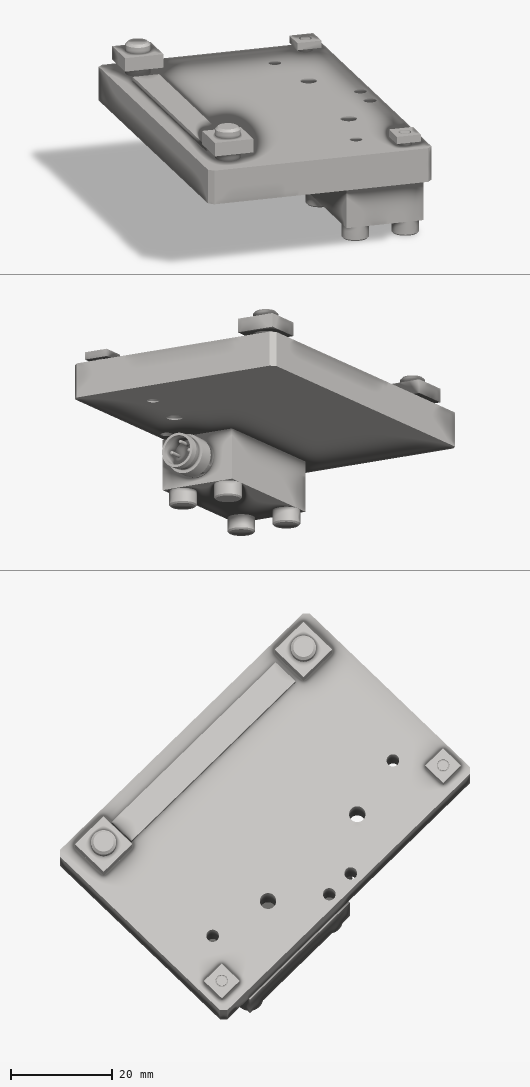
import cadquery as cq

PLATE_LENGTH = 70.0
PLATE_WIDTH = 46.5
PLATE_THICKNESS = 7.0
PLATE_CORNER_CHAMFER = 1.0

PLATE_HOLES = [
    (3.0, 20.85, 2.5),
    (12.5, 13.25, 3.24),
    (25.25, 10.5, 2.5),
]

STRIP_LENGTH = 46.0
STRIP_WIDTH = 5.5
STRIP_HEIGHT = 1.0

CLAMP_X = 28.0
CLAMP_Y = -17.1
CLAMP_BLOCK_SIZE = 8.0
CLAMP_BLOCK_BOTTOM = 1.9
CLAMP_BLOCK_THICKNESS = 2.8
CLAMP_POST_DIAMETER = 5.0
CLAMP_POST_HEIGHT = 6.5
CLAMP_POST_CHAMFER = 0.5

PAD_X = 31.0
PAD_Y = 18.75
PAD_SIZE = 5.0
PAD_BOTTOM = 1.0
PAD_THICKNESS = 1.5
PAD_PIN_DIAMETER = 2.9
PAD_GROOVE_OUTER_DIAMETER = 2.5
PAD_GROOVE_INNER_DIAMETER = 2.0
PAD_GROOVE_DEPTH = 0.25

HOUSING_LEFT = 0.0
HOUSING_LENGTH = 28.0
HOUSING_WIDTH = 16.0
HOUSING_HEIGHT = 10.3
HOUSING_OVERHANG = 0.35
HOUSING_REAR = PLATE_WIDTH / 2 + HOUSING_OVERHANG
HOUSING_FRONT = HOUSING_REAR - HOUSING_WIDTH

FOOT_DIAMETER = 5.5
FOOT_HEIGHT = 3.0
FOOT_CHAMFER = 0.3
FOOT_X_POSITIONS = (3.0, 25.25)
FOOT_Y_POSITIONS = (20.75, 10.35)

CONNECTOR_Y = 15.5
CONNECTOR_Z = -HOUSING_HEIGHT / 2
CONNECTOR_SECTIONS = [
    (7.5, 1.7),
    (8.0, 3.15),
    (6.5, 1.5),
    (7.0, 1.5),
]
WRENCH_FLAT_START = 0.25
WRENCH_FLAT_WIDTH = 1.0
WRENCH_ACROSS_FLATS = 6.4
SOCKET_DIAMETER = 6.0
SOCKET_DEPTH = 4.0
CONTACT_DIAMETER = 0.7
CONTACT_LENGTH = 3.0
CONTACT_RADIUS = 2.0
CONTACT_TIP_CHAMFER = 0.15
CONTACT_DIRECTIONS = [(1, 0), (-1, 0), (0, 1)]


def box(x_center, y_center, z_bottom, x_size, y_size, height):
    """Upright box centred in X and Y, standing on z_bottom."""
    block = cq.Workplane("XY").box(x_size, y_size, height, centered=(True, True, False))
    return block.translate((x_center, y_center, z_bottom))


def cylinder(x_center, y_center, z_bottom, diameter, height):
    """Vertical cylinder standing on z_bottom."""
    post = cq.Workplane("XY").circle(diameter / 2).extrude(height)
    return post.translate((x_center, y_center, z_bottom))


def connector_cylinder(distance, diameter, length):
    """Cylinder on the connector axis, starting at a distance from the housing and running towards -X."""
    rod = cq.Workplane("YZ").circle(diameter / 2).extrude(-length)
    return rod.translate((HOUSING_LEFT - distance, CONNECTOR_Y, CONNECTOR_Z))


def make_plate():
    plate = box(0, 0, 0, PLATE_LENGTH, PLATE_WIDTH, PLATE_THICKNESS)
    plate = plate.edges("|Z").chamfer(PLATE_CORNER_CHAMFER)
    for x_offset, y, diameter in PLATE_HOLES:
        for side in (-1, 1):
            plate = plate.cut(cylinder(side * x_offset, y, 0, diameter, PLATE_THICKNESS))
    return plate


def make_strip():
    return box(0, CLAMP_Y, PLATE_THICKNESS, STRIP_LENGTH, STRIP_WIDTH, STRIP_HEIGHT)


def make_clamp(x):
    post = cylinder(x, CLAMP_Y, PLATE_THICKNESS, CLAMP_POST_DIAMETER, CLAMP_POST_HEIGHT)
    post = post.faces(">Z").chamfer(CLAMP_POST_CHAMFER)
    block_bottom = PLATE_THICKNESS + CLAMP_BLOCK_BOTTOM
    block = box(x, CLAMP_Y, block_bottom, CLAMP_BLOCK_SIZE, CLAMP_BLOCK_SIZE, CLAMP_BLOCK_THICKNESS)
    return post.union(block)


def make_pad(x):
    pin = cylinder(x, PAD_Y, PLATE_THICKNESS, PAD_PIN_DIAMETER, PAD_BOTTOM)
    pad_bottom = PLATE_THICKNESS + PAD_BOTTOM
    pad = box(x, PAD_Y, pad_bottom, PAD_SIZE, PAD_SIZE, PAD_THICKNESS)
    groove_bottom = pad_bottom + PAD_THICKNESS - PAD_GROOVE_DEPTH
    groove = cylinder(x, PAD_Y, groove_bottom, PAD_GROOVE_OUTER_DIAMETER, PAD_GROOVE_DEPTH)
    core = cylinder(x, PAD_Y, groove_bottom, PAD_GROOVE_INNER_DIAMETER, PAD_GROOVE_DEPTH)
    return pad.cut(groove.cut(core)).union(pin)


def make_housing():
    x_center = HOUSING_LEFT + HOUSING_LENGTH / 2
    y_center = (HOUSING_REAR + HOUSING_FRONT) / 2
    return box(x_center, y_center, -HOUSING_HEIGHT, HOUSING_LENGTH, HOUSING_WIDTH, HOUSING_HEIGHT)


def make_foot(x, y):
    foot = cylinder(x, y, -HOUSING_HEIGHT - FOOT_HEIGHT, FOOT_DIAMETER, FOOT_HEIGHT)
    return foot.faces("<Z").chamfer(FOOT_CHAMFER)


def make_wrench_flats():
    """Material removed from the connector collar to leave four flats."""
    collar_diameter = CONNECTOR_SECTIONS[0][0]
    ring = connector_cylinder(WRENCH_FLAT_START, collar_diameter, WRENCH_FLAT_WIDTH)
    square = cq.Workplane("YZ").rect(WRENCH_ACROSS_FLATS, WRENCH_ACROSS_FLATS).extrude(-WRENCH_FLAT_WIDTH)
    return ring.cut(square.translate((HOUSING_LEFT - WRENCH_FLAT_START, CONNECTOR_Y, CONNECTOR_Z)))


def make_connector():
    sections = []
    distance = 0.0
    for diameter, length in CONNECTOR_SECTIONS:
        sections.append(connector_cylinder(distance, diameter, length))
        distance += length
    connector = sections[0].cut(make_wrench_flats())
    for section in sections[1:]:
        connector = connector.union(section)

    socket_floor = distance - SOCKET_DEPTH
    connector = connector.cut(connector_cylinder(socket_floor, SOCKET_DIAMETER, SOCKET_DEPTH))
    contact = connector_cylinder(socket_floor, CONTACT_DIAMETER, CONTACT_LENGTH)
    contact = contact.faces("<X").chamfer(CONTACT_TIP_CHAMFER)
    for y_direction, z_direction in CONTACT_DIRECTIONS:
        offset = (0, y_direction * CONTACT_RADIUS, z_direction * CONTACT_RADIUS)
        connector = connector.union(contact.translate(offset))
    return connector


result = make_plate().union(make_strip())
for side in (-1, 1):
    result = result.union(make_clamp(side * CLAMP_X))
    result = result.union(make_pad(side * PAD_X))
result = result.union(make_housing()).union(make_connector())
for foot_x in FOOT_X_POSITIONS:
    for foot_y in FOOT_Y_POSITIONS:
        result = result.union(make_foot(foot_x, foot_y))